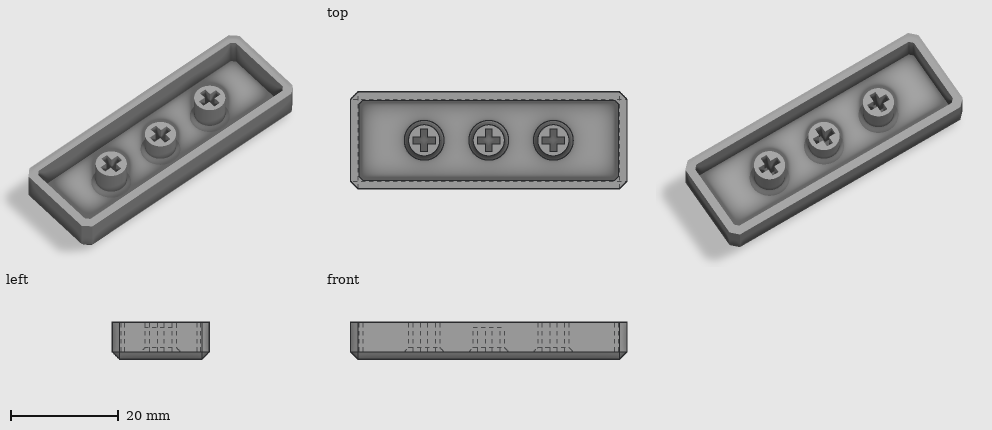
import cadquery as cq

length = 51.39
width = 18.05
height = 6.9
bevel = 1.4
wall = 1.595
cavity_corner_bevel = bevel / 2
floor_thickness = 1.4

stem_spacing = 12.0
stem_diameter = 5.8
foot_diameter = 7.4
foot_height = (foot_diameter - stem_diameter) / 2
middle_stem_drop = 1.0
cross_span = 4.15
cross_slot_width = 1.3

cavity_depth = height - floor_thickness


def make_tray():
    block = cq.Workplane("XY").box(length, width, height, centered=(True, True, False))
    block = block.edges("|Z or <Z").chamfer(bevel)
    floor = cq.Workplane("XY", origin=(0, 0, floor_thickness))
    cavity = floor.rect(length - 2 * wall, width - 2 * wall).extrude(cavity_depth)
    cavity = cavity.edges("|Z").chamfer(cavity_corner_bevel)
    return block.cut(cavity)


def make_stem(x, stem_height):
    base = cq.Workplane("XY", origin=(x, 0, floor_thickness))
    post = base.circle(stem_diameter / 2).extrude(stem_height)
    foot = base.circle(foot_diameter / 2).workplane(offset=foot_height)
    foot = foot.circle(stem_diameter / 2).loft()
    socket = base.rect(cross_span, cross_slot_width).extrude(stem_height)
    socket = socket.union(base.rect(cross_slot_width, cross_span).extrude(stem_height))
    return post.union(foot).cut(socket)


def stem_height_at(position):
    """The middle stem stops below the rim; the outer stems are flush with it."""
    if position == 0:
        return cavity_depth - middle_stem_drop
    return cavity_depth


result = make_tray()
for position in (-1, 0, 1):
    stem = make_stem(position * stem_spacing, stem_height_at(position))
    result = result.union(stem)